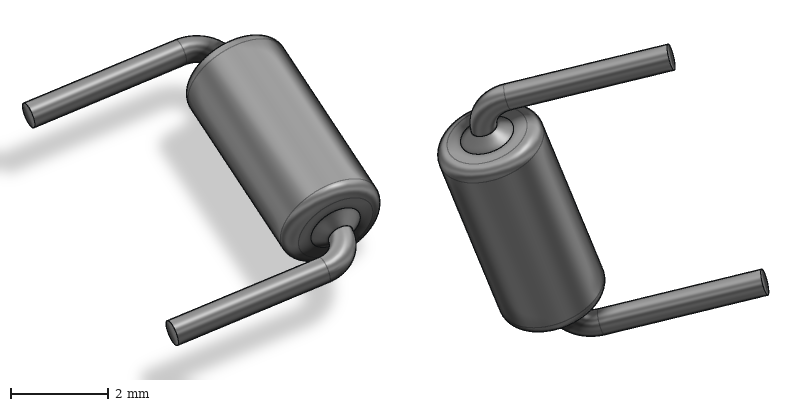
import cadquery as cq

body_length = 4.645
body_diameter = 2.28
body_edge_radius = 0.275

collar_length = 0.22
collar_base_diameter = 1.15
collar_tip_diameter = 0.55

lead_diameter = 0.55
lead_span = 6.91
lead_bend_radius = 0.72
lead_tip_y = -4.24

lead_x = (lead_span - lead_diameter) / 2
bend_start_x = lead_x - lead_bend_radius


def make_body():
    return (
        cq.Workplane("YZ", origin=(-body_length / 2, 0, 0))
        .circle(body_diameter / 2)
        .extrude(body_length)
        .edges()
        .fillet(body_edge_radius)
    )


def make_collar():
    """Cone on the +X end, on a core that reaches the middle of the body."""
    base_x = body_length / 2
    tip_x = base_x + collar_length
    return (
        cq.Workplane("XY")
        .lineTo(0, collar_base_diameter / 2)
        .lineTo(base_x, collar_base_diameter / 2)
        .lineTo(tip_x, collar_tip_diameter / 2)
        .lineTo(tip_x, 0)
        .close()
        .revolve(360, (0, 0, 0), (1, 0, 0))
    )


def make_lead():
    """Lead on the +X end, from the middle of the body, bent toward -Y."""
    path = (
        cq.Workplane("XY")
        .lineTo(bend_start_x, 0)
        .tangentArcPoint((lead_x, -lead_bend_radius), relative=False)
        .lineTo(lead_x, lead_tip_y)
    )
    return cq.Workplane("YZ").circle(lead_diameter / 2).sweep(path)


end_parts = make_collar().union(make_lead())
result = make_body().union(end_parts).union(end_parts.mirror("YZ"))